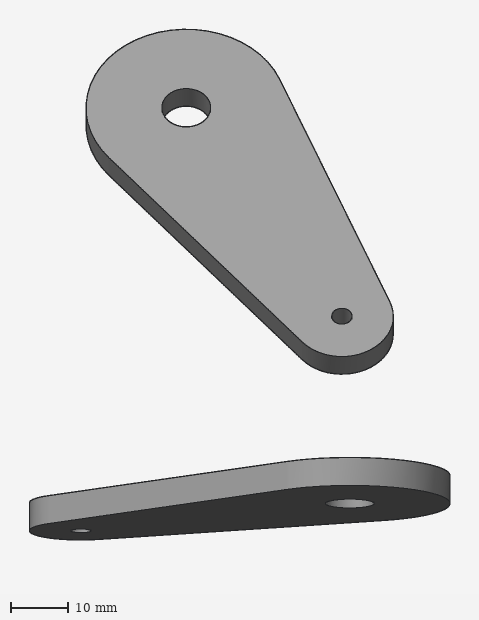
import cadquery as cq
import math

length = 80.4
thickness = 5.0

large_radius = 17.5
small_radius = 9.0
small_x = length - large_radius - small_radius
small_y = 2.25

large_hole_diameter = 8.5
small_hole_diameter = 3.5

center_distance = math.hypot(small_x, small_y)
tilt = math.atan2(small_y, small_x)
spread = math.acos((large_radius - small_radius) / center_distance)
upper_angle = tilt + spread
lower_angle = tilt - spread


def rim_point(center, radius, angle):
    """Point on a circle at the given angle in radians."""
    return (
        center[0] + radius * math.cos(angle),
        center[1] + radius * math.sin(angle),
    )


large_center = (0, 0)
small_center = (small_x, small_y)

plate = (
    cq.Workplane("XY")
    .moveTo(*rim_point(large_center, large_radius, upper_angle))
    .threePointArc(
        rim_point(large_center, large_radius, tilt + math.pi),
        rim_point(large_center, large_radius, lower_angle),
    )
    .lineTo(*rim_point(small_center, small_radius, lower_angle))
    .threePointArc(
        rim_point(small_center, small_radius, tilt),
        rim_point(small_center, small_radius, upper_angle),
    )
    .close()
    .extrude(thickness)
)


def hole_cutter(center, diameter):
    """Cylinder through the full plate thickness."""
    return cq.Workplane("XY").center(*center).circle(diameter / 2).extrude(thickness)


result = plate.cut(hole_cutter(large_center, large_hole_diameter)).cut(
    hole_cutter(small_center, small_hole_diameter)
)